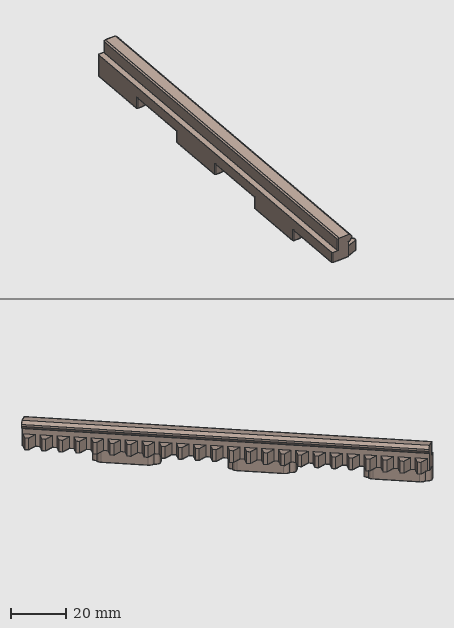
import cadquery as cq
import math

length = 150.0
total_depth = 11.7
total_height = 14.7

foot_height = 5.0
ledge_height = 9.5
ledge_depth = 2.4
back_depth = 7.2
edge_chamfer = 0.3
top_bevel_depth = 0.8

lip_depth = 8.7
lip_chamfer = 1.2
lip_tip_height = 0.8

tooth_count = 24
first_tooth = 3.0
last_tooth_inset = 2.5
pressure_angle = 20.0
tip_width = 1.4
tooth_pitch = (length - first_tooth - last_tooth_inset) / (tooth_count - 1)

foot_count = 3
foot_length = length / 6
foot_spacing = 2 * foot_length
foot_depth = 4.6
foot_radius = 2.0
pad_depth = 6.2
pad_inset = foot_radius


def make_lower_bar():
    return (
        cq.Workplane("XY", origin=(0, 0, foot_height))
        .box(length, back_depth, ledge_height - foot_height, centered=False)
        .edges("|Z and <Y")
        .chamfer(edge_chamfer)
    )


def make_upper_bar():
    """Upper wall above the ledge, with the bevelled lip along its back."""
    lip_upper = total_height - lip_chamfer
    lip_lower = lip_upper - lip_tip_height
    lip_base = lip_lower - lip_chamfer
    lip_shoulder = lip_depth - lip_chamfer
    return (
        cq.Workplane("YZ")
        .moveTo(ledge_depth, ledge_height)
        .lineTo(back_depth, ledge_height)
        .lineTo(back_depth, lip_base)
        .lineTo(lip_shoulder, lip_base)
        .lineTo(lip_depth, lip_lower)
        .lineTo(lip_depth, lip_upper)
        .lineTo(lip_shoulder, total_height)
        .lineTo(ledge_depth + top_bevel_depth, total_height)
        .lineTo(ledge_depth, total_height - edge_chamfer)
        .close()
        .extrude(length)
        .faces("<Y")
        .edges("|Z")
        .chamfer(edge_chamfer)
    )


def make_tooth(centre):
    flank_run = (total_depth - back_depth) * math.tan(math.radians(pressure_angle))
    half_tip = tip_width / 2
    half_root = half_tip + flank_run
    return (
        cq.Workplane("XY", origin=(centre, 0, foot_height))
        .moveTo(-half_root, back_depth)
        .lineTo(-half_tip, total_depth)
        .lineTo(half_tip, total_depth)
        .lineTo(half_root, back_depth)
        .close()
        .extrude(ledge_height - foot_height)
    )


def rounded_block(start, block_length, depth):
    """Block standing on Z = 0 with both rear upright edges rounded."""
    return (
        cq.Workplane("XY")
        .box(block_length, depth, foot_height, centered=False)
        .edges("|Z and >Y")
        .fillet(foot_radius)
        .translate((start, 0, 0))
    )


def make_foot(start):
    foot = rounded_block(start, foot_length, foot_depth)
    foot = foot.edges("|Z and <Y").chamfer(edge_chamfer)
    pad = rounded_block(start + pad_inset, foot_length - 2 * pad_inset, pad_depth)
    return foot.union(pad)


result = make_lower_bar().union(make_upper_bar())
for index in range(tooth_count):
    result = result.union(make_tooth(first_tooth + index * tooth_pitch))
for index in range(foot_count):
    result = result.union(make_foot(index * foot_spacing))